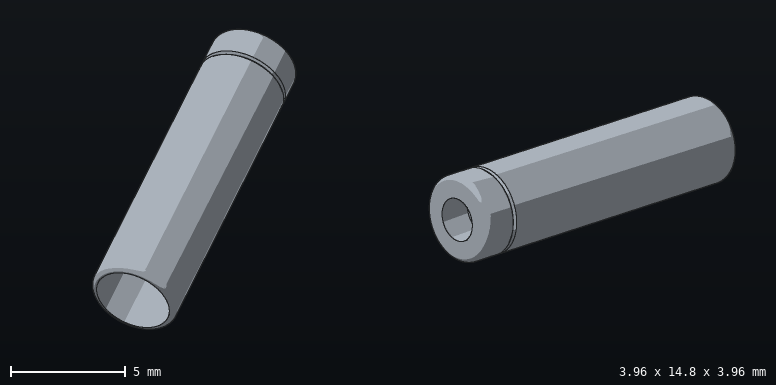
import cadquery as cq

length = 14.8
outer_radius = 1.98
edge_radius = 0.28

bore_radius = outer_radius - edge_radius
end_hole_radius = 0.98

groove_depth = 0.1
groove_width = 2 * groove_depth
groove_center_from_back = 1.6

front_y = -length / 2
back_y = length / 2
groove_y = back_y - groove_center_from_back
end_wall_thickness = groove_center_from_back - groove_width / 2


def cylinder_along_y(radius, start_y, height):
    """Solid cylinder on the Y axis, growing toward +Y from start_y."""
    plane = cq.Plane(origin=(0, start_y, 0), xDir=(1, 0, 0), normal=(0, 1, 0))
    return cq.Workplane(plane).circle(radius).extrude(height)


def groove_cutter():
    """Ring with a V-shaped section that opens at the outer surface."""
    return (
        cq.Workplane("XY")
        .moveTo(outer_radius, groove_y - groove_width / 2)
        .lineTo(outer_radius - groove_depth, groove_y)
        .lineTo(outer_radius, groove_y + groove_width / 2)
        .close()
        .revolve(360, (0, 0, 0), (0, 1, 0))
    )


body = cylinder_along_y(outer_radius, front_y, length).edges().fillet(edge_radius)
bore = cylinder_along_y(bore_radius, front_y, length - end_wall_thickness)
end_hole = cylinder_along_y(end_hole_radius, front_y, length)

result = body.cut(groove_cutter()).cut(bore).cut(end_hole)